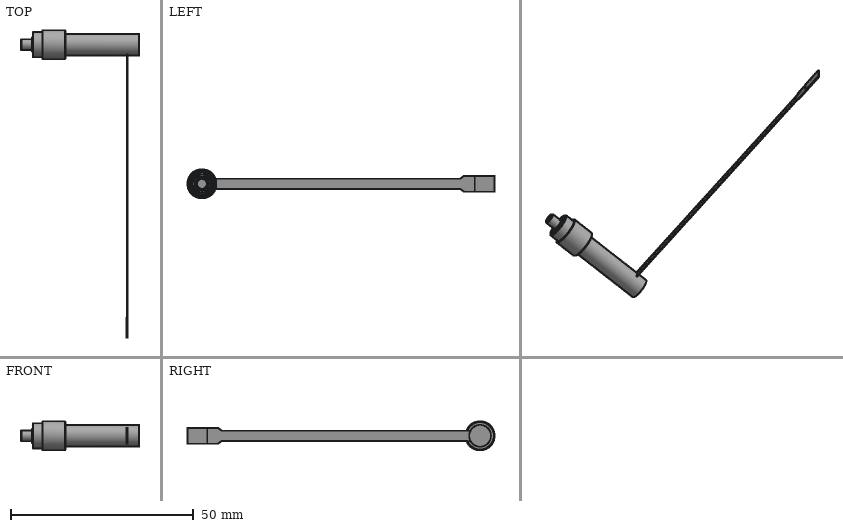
import cadquery as cq

overall_width = 84.0

pin_diameter = 3.0
pin_end = 3.0
collar_diameter = 3.95
collar_end = 3.3
sleeve_diameter = 7.0
sleeve_end = 5.9
body_diameter = 8.0
body_end = 12.3
tube_diameter = 6.0
barrel_end = 32.3

pin_chamfer_length = 0.25
pin_chamfer_depth = 0.2
collar_chamfer = 0.13
edge_chamfer = 0.1
body_back_chamfer = 0.25

groove_depth = 0.1
groove_inner_top_diameter = 4.95
groove_inner_floor_diameter = 5.0
groove_outer_floor_diameter = 6.0
groove_outer_top_diameter = groove_outer_floor_diameter + 2 * groove_depth

strip_center = 29.1
strip_thickness = 0.25
strip_width = 2.85
tab_width = 4.4
tab_length = 8.4
taper_length = 1.0
pad_length = 5.5
pad_height = 0.1
strip_front = strip_center - strip_thickness / 2
strip_tip = body_diameter / 2 - overall_width


def make_barrel():
    """Half profile as (x, radius) points, revolved around the X axis."""
    pin_radius = pin_diameter / 2
    collar_radius = collar_diameter / 2
    sleeve_radius = sleeve_diameter / 2
    body_radius = body_diameter / 2
    tube_radius = tube_diameter / 2
    groove_floor = collar_end + groove_depth
    pin = [
        (0, 0),
        (0, pin_radius - pin_chamfer_depth),
        (pin_chamfer_length, pin_radius),
        (pin_end, pin_radius),
    ]
    collar = [
        (pin_end, collar_radius - collar_chamfer),
        (pin_end + collar_chamfer, collar_radius),
        (collar_end, collar_radius),
    ]
    groove = [
        (collar_end, groove_inner_top_diameter / 2),
        (groove_floor, groove_inner_floor_diameter / 2),
        (groove_floor, groove_outer_floor_diameter / 2),
        (collar_end, groove_outer_top_diameter / 2),
    ]
    sleeve = [
        (collar_end, sleeve_radius - edge_chamfer),
        (collar_end + edge_chamfer, sleeve_radius),
        (sleeve_end, sleeve_radius),
    ]
    body = [
        (sleeve_end, body_radius - edge_chamfer),
        (sleeve_end + edge_chamfer, body_radius),
        (body_end - body_back_chamfer, body_radius),
        (body_end, body_radius - body_back_chamfer),
    ]
    tube = [
        (body_end, tube_radius),
        (barrel_end, tube_radius),
        (barrel_end, 0),
    ]
    profile = cq.Workplane("XY").polyline(pin + collar + groove + sleeve + body + tube).close()
    return profile.revolve(360, (0, 0, 0), (1, 0, 0))


def make_strip():
    """Flat strip from the barrel axis to the tip, wider along the tab."""
    tab_start = strip_tip + tab_length
    taper_start = tab_start + taper_length
    upper_edge = [
        (0, strip_width / 2),
        (taper_start, strip_width / 2),
        (tab_start, tab_width / 2),
        (strip_tip, tab_width / 2),
    ]
    lower_edge = [(y, -z) for y, z in reversed(upper_edge)]
    outline = cq.Workplane("YZ").workplane(offset=strip_front).polyline(upper_edge + lower_edge)
    return outline.close().extrude(strip_thickness)


def make_pad():
    """Thickened end of the tab, raised on the -X face of the strip."""
    return (
        cq.Workplane("YZ")
        .workplane(offset=strip_front - pad_height)
        .center(strip_tip + pad_length / 2, 0)
        .rect(pad_length, tab_width)
        .extrude(strip_thickness + pad_height)
    )


result = make_barrel().union(make_strip()).union(make_pad())